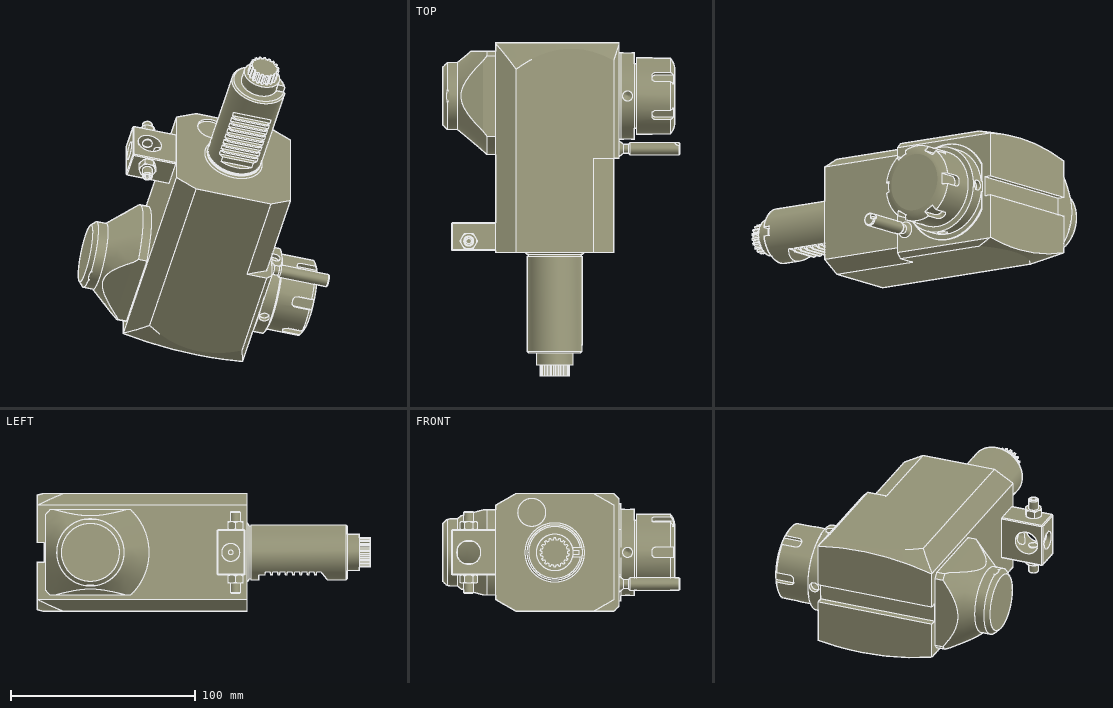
import cadquery as cq
import math


BODY_HALF_WIDTH = 32.0
BODY_HALF_HEIGHT = 32.0
BODY_LENGTH = 114.0
CHAMFER_RUN_X = 11.0
CHAMFER_RUN_Z = 6.3
HEAD_STEP = 2.9
HEAD_START_Y = 51.2
CROWN_RADIUS = 159.3
CROWN_CENTRE_X = 9.0
CROWN_HALF_HEIGHT = 31.1
CROWN_TILT = 15.0
CROWN_OVERRUN = 72.4
BACK_SLOT_WIDTH = 10.5
BACK_SLOT_DEPTH = 3.8
RECESS_X, RECESS_Z = -12.5, 21.7
RECESS_RADIUS = 7.6
RECESS_DEPTH = 1.5

SPINDLE_Y = 85.0
CAP_FLANGE_RADIUS = 31.9
CAP_FLANGE_LENGTH = 4.7
CAP_CONE_LENGTH = 16.1
CAP_LENGTH = 28.8
CAP_RADIUS = 18.3
CAP_CHAMFER = 2.5
CAP_HALF_HEIGHT = 23.2
CAP_BACK_REACH = 24.5
CAP_SLOPE_START = 6.7
CAP_SLOPE_ANGLE = 15.0

SEAT_RADIUS = 26.5
SEAT_HALF_WIDTH = 23.3
SEAT_THICKNESS = 0.9
COLLAR_RADIUS = 23.5
COLLAR_END = 8.3
NECK_RADIUS = 17.5
NUT_START = 9.5
NUT_RADIUS = 20.8
NUT_EDGE = 27.9
NUT_END = 30.2
NUT_ARC_MIDDLE = 29.5
NUT_FACE_RADIUS = 15.5
NUT_SLOT_COUNT = 6
NUT_SLOT_WIDTH = 5.8
NUT_SLOT_DEPTH = 2.9
NUT_SLOT_START = 17.7
NUT_SLOT_CORNER = 2.4
COLLAR_HOLE_COUNT = 4
COLLAR_HOLE_RADIUS = 2.7
COLLAR_HOLE_DEPTH = 2.7
COLLAR_HOLE_CONE = 1.6

TUBE_Y, TUBE_Z = 56.5, -17.2
TUBE_RADIUS = 3.5
TUBE_NECK_RADIUS = 2.5
TUBE_FOOT_RADIUS = 4.3
TUBE_NECK_START = 2.4
TUBE_NECK_END = 5.0
TUBE_BARREL_START = 6.0
TUBE_LENGTH = 33.0
TUBE_CHAMFER = 0.5
JET_RADIUS = 1.6
JET_DEPTH = 3.6

SHANK_RADIUS = 15.0
SHANK_LENGTH = 54.5
SHANK_CHAMFER = 0.9
SHOULDER_RADIUS = 16.1
SHOULDER_LENGTH = 0.9
UNDERCUT_RADIUS = 14.5
UNDERCUT_END = 2.0
STUB_RADIUS = 10.0
STUB_END = 61.0
SPLINE_END = 67.0
SPLINE_TIP_RADIUS = 8.0
SPLINE_ROOT_RADIUS = 6.9
SPLINE_COUNT = 18
SPLINE_TIP_SHARE = 0.3
SPLINE_ROOT_SHARE = 0.6
KEYWAY_WIDTH = 5.0
KEYWAY_LENGTH = 4.3
KEYWAY_POCKET_REACH = 13.0
KEYWAY_POCKET_WIDTH = 2.2
KEYWAY_POCKET_DEPTH = 1.8
RACK_START = 6.3
RACK_TIP_Z = -12.3
RACK_ROOT_Z = -10.7
RACK_FIRST_TOOTH = 13.2
RACK_PITCH = 4.0
RACK_TOOTH_COUNT = 7
RACK_TIP_WIDTH = 0.9
RACK_ROOT_WIDTH = 2.5
RACK_RAMP_START = 40.2
RACK_RAMP_END = 43.6

BLOCK_REACH = 24.0
BLOCK_START_Y = 1.0
BLOCK_END_Y = 16.3
BLOCK_HALF_HEIGHT = 12.3
BLOCK_CHAMFER = 0.5
PORT_X = -46.7
PORT_RADIUS = 6.5
SIDE_PORT_Y = 8.9
SIDE_PORT_RADIUS = 4.9
SIDE_PORT_DEPTH = 19.0
DUCT_RADIUS = 1.3
DUCT_DEPTH = 3.6
FITTING_Y = 6.3
HEX_CORNERS = 9.6
HEX_HEIGHT = 4.3
HEX_BEVEL = 0.5
PIN_RADIUS = 2.7
PIN_TOP_Z = 22.3
PIN_INNER_Z = 6.0
PIN_CHAMFER = 0.5
PIN_BORE_RADIUS = 1.5
PIN_BORE_DEPTH = 1.5

HEAD_FACE_X = BODY_HALF_WIDTH + HEAD_STEP


def block(x_range, y_range, z_range):
    """Box spanning three (low, high) ranges."""
    spans = [high - low for low, high in (x_range, y_range, z_range)]
    corner = (x_range[0], y_range[0], z_range[0])
    return cq.Workplane("XY").box(*spans, centered=False).translate(corner)


def rod(radius, length, start, direction):
    """Cylinder from a start point along a direction."""
    return cq.Workplane(obj=cq.Solid.makeCylinder(radius, length, cq.Vector(*start), cq.Vector(*direction)))


def turned(profile, start, direction):
    """Solid of revolution from (distance along axis, radius) points."""
    side = (0, 1, 0) if direction[1] == 0 else (1, 0, 0)
    plane = cq.Plane(origin=start, xDir=direction, normal=side)
    points = [(profile[0][0], 0)] + profile
    if profile[-1][1] > 0:
        points.append((profile[-1][0], 0))
    return cq.Workplane(plane).polyline(points).close().revolve(360, (0, 0, 0), (1, 0, 0))


def mirrored_z(shape):
    return shape.union(shape.mirror("XY"))


def chamfered_prism(left, right, start_y, end_y, left_run, right_run):
    """Prism along Y; each run is the (x, z) size of the two chamfers on that side."""
    top = BODY_HALF_HEIGHT
    upper = [
        (left, top - left_run[1]),
        (left + left_run[0], top),
        (right - right_run[0], top),
        (right, top - right_run[1]),
    ]
    lower = [(x, -z) for x, z in reversed(upper)]
    section = cq.Workplane("XZ", origin=(0, end_y, 0)).polyline(upper + lower).close()
    return section.extrude(end_y - start_y)


def make_body():
    wide = (CHAMFER_RUN_X, CHAMFER_RUN_Z)
    small = (HEAD_STEP, HEAD_STEP)
    body = chamfered_prism(-BODY_HALF_WIDTH, BODY_HALF_WIDTH, 0, HEAD_START_Y, wide, wide)
    body = body.union(chamfered_prism(-BODY_HALF_WIDTH, HEAD_FACE_X, HEAD_START_Y, BODY_LENGTH, wide, small))

    tilt = math.radians(CROWN_TILT)
    for side in (1, -1):
        axis_z = CROWN_HALF_HEIGHT - CROWN_RADIUS / math.cos(tilt) - CROWN_OVERRUN * math.tan(tilt)
        start = (CROWN_CENTRE_X, BODY_LENGTH + CROWN_OVERRUN, side * axis_z)
        direction = (0, -math.cos(tilt), side * math.sin(tilt))
        body = body.intersect(rod(CROWN_RADIUS, 2 * BODY_LENGTH + CROWN_OVERRUN, start, direction))

    slot = block(
        (-BODY_HALF_WIDTH, HEAD_FACE_X),
        (BODY_LENGTH - BACK_SLOT_DEPTH, BODY_LENGTH),
        (-BACK_SLOT_WIDTH / 2, BACK_SLOT_WIDTH / 2),
    )
    recess = rod(RECESS_RADIUS, RECESS_DEPTH, (RECESS_X, 0, RECESS_Z), (0, 1, 0))
    return body.cut(slot).cut(recess)


def make_cap():
    """Conical spindle cap, flattened at +Y and above and below."""
    cone_end = CAP_FLANGE_LENGTH + CAP_CONE_LENGTH
    cap = turned(
        [
            (0, CAP_FLANGE_RADIUS),
            (CAP_FLANGE_LENGTH, CAP_FLANGE_RADIUS),
            (cone_end, CAP_RADIUS),
            (CAP_LENGTH - CAP_CHAMFER, CAP_RADIUS),
            (CAP_LENGTH, CAP_RADIUS - CAP_CHAMFER),
        ],
        (-BODY_HALF_WIDTH, SPINDLE_Y, 0),
        (-1, 0, 0),
    )
    slope_drop = (CAP_LENGTH - CAP_SLOPE_START) * math.tan(math.radians(CAP_SLOPE_ANGLE))
    upper = [
        (-BODY_HALF_WIDTH, CAP_HALF_HEIGHT),
        (-BODY_HALF_WIDTH - CAP_SLOPE_START, CAP_HALF_HEIGHT),
        (-BODY_HALF_WIDTH - CAP_LENGTH, CAP_HALF_HEIGHT - slope_drop),
    ]
    lower = [(x, -z) for x, z in reversed(upper)]
    envelope = (
        cq.Workplane("XZ", origin=(0, SPINDLE_Y + CAP_BACK_REACH, 0))
        .polyline(upper + lower)
        .close()
        .extrude(CAP_BACK_REACH + CAP_FLANGE_RADIUS)
    )
    return cap.intersect(envelope)


def make_nut_slot():
    """Cutter for one wrench slot, on the +Z side of the nut."""
    floor = NUT_RADIUS - NUT_SLOT_DEPTH
    half_width = NUT_SLOT_WIDTH / 2
    cutter = block(
        (HEAD_FACE_X + NUT_SLOT_START, HEAD_FACE_X + NUT_END),
        (SPINDLE_Y - half_width, SPINDLE_Y + half_width),
        (floor, NUT_RADIUS),
    )
    return cutter.edges("|Z and <X").fillet(NUT_SLOT_CORNER)


def around_spindle(shape, angle):
    return shape.rotate((0, SPINDLE_Y, 0), (1, SPINDLE_Y, 0), angle)


def make_collet_end():
    """Seat plate, drilled collar and slotted collet nut."""
    start = (HEAD_FACE_X, SPINDLE_Y, 0)
    seat = rod(SEAT_RADIUS, SEAT_THICKNESS, start, (1, 0, 0)).intersect(
        block(
            (HEAD_FACE_X, HEAD_FACE_X + SEAT_THICKNESS),
            (SPINDLE_Y - SEAT_HALF_WIDTH, SPINDLE_Y + SEAT_HALF_WIDTH),
            (-SEAT_RADIUS, SEAT_RADIUS),
        )
    )
    collar = rod(COLLAR_RADIUS, COLLAR_END, start, (1, 0, 0))
    hole = turned(
        [
            (0, COLLAR_HOLE_RADIUS),
            (COLLAR_HOLE_DEPTH, COLLAR_HOLE_RADIUS),
            (COLLAR_HOLE_DEPTH + COLLAR_HOLE_CONE, 0),
        ],
        (HEAD_FACE_X + (SEAT_THICKNESS + COLLAR_END) / 2, SPINDLE_Y, COLLAR_RADIUS),
        (0, 0, -1),
    )
    for i in range(COLLAR_HOLE_COUNT):
        collar = collar.cut(around_spindle(hole, i * 360 / COLLAR_HOLE_COUNT))

    arc_middle = (NUT_ARC_MIDDLE, (NUT_RADIUS + NUT_FACE_RADIUS) / 2)
    nut = (
        cq.Workplane(cq.Plane(origin=start, xDir=(1, 0, 0), normal=(0, 1, 0)))
        .moveTo(NUT_START, 0)
        .lineTo(NUT_START, NUT_RADIUS)
        .lineTo(NUT_EDGE, NUT_RADIUS)
        .threePointArc(arc_middle, (NUT_END, NUT_FACE_RADIUS))
        .lineTo(NUT_END, 0)
        .close()
        .revolve(360, (0, 0, 0), (1, 0, 0))
    )
    slot = make_nut_slot()
    for i in range(NUT_SLOT_COUNT):
        nut = nut.cut(around_spindle(slot, 90 + i * 360 / NUT_SLOT_COUNT))
    neck = rod(NECK_RADIUS, NUT_START, start, (1, 0, 0))
    return seat.union(collar).union(neck).union(nut)


def make_coolant_tube():
    tube = turned(
        [
            (0, TUBE_FOOT_RADIUS),
            (TUBE_NECK_START, TUBE_NECK_RADIUS),
            (TUBE_NECK_END, TUBE_NECK_RADIUS),
            (TUBE_BARREL_START, TUBE_RADIUS),
            (TUBE_LENGTH - TUBE_CHAMFER, TUBE_RADIUS),
            (TUBE_LENGTH, TUBE_RADIUS - TUBE_CHAMFER),
        ],
        (HEAD_FACE_X, TUBE_Y, TUBE_Z),
        (1, 0, 0),
    )
    toward_y = SPINDLE_Y - TUBE_Y
    toward_z = -TUBE_Z
    reach = math.hypot(toward_y, toward_z)
    unit_y, unit_z = toward_y / reach, toward_z / reach
    mouth = (HEAD_FACE_X + TUBE_LENGTH, TUBE_Y + TUBE_RADIUS * unit_y, TUBE_Z + TUBE_RADIUS * unit_z)
    return tube.cut(rod(JET_RADIUS, JET_DEPTH, mouth, (-1, -unit_y, -unit_z)))


def make_rack_cutter():
    """Cutter under the shank that leaves the clamping teeth."""
    below = -SHOULDER_RADIUS
    flank = (RACK_PITCH - RACK_TIP_WIDTH - RACK_ROOT_WIDTH) / 2
    half_tip = RACK_TIP_WIDTH / 2
    first_root = RACK_FIRST_TOOTH - RACK_PITCH + half_tip + flank
    points = [(RACK_START, below), (RACK_START, RACK_TIP_Z), (first_root - flank, RACK_TIP_Z)]
    points.append((first_root, RACK_ROOT_Z))
    for i in range(RACK_TOOTH_COUNT):
        tooth = RACK_FIRST_TOOTH + i * RACK_PITCH
        points.append((tooth - half_tip - flank, RACK_ROOT_Z))
        points.append((tooth - half_tip, RACK_TIP_Z))
        points.append((tooth + half_tip, RACK_TIP_Z))
        points.append((tooth + half_tip + flank, RACK_ROOT_Z))
    points += [(RACK_RAMP_START, RACK_ROOT_Z), (RACK_RAMP_END, -SHANK_RADIUS), (RACK_RAMP_END, below)]
    section = cq.Workplane("YZ").polyline([(-distance, z) for distance, z in points]).close()
    return section.extrude(SHANK_RADIUS, both=True)


def make_spline():
    """Toothed drive end with a tooth on the +Z side."""
    pitch = 2 * math.pi / SPLINE_COUNT
    points = []
    for i in range(SPLINE_COUNT):
        middle = math.pi / 2 + i * pitch
        for offset, radius in (
            (-SPLINE_ROOT_SHARE / 2, SPLINE_ROOT_RADIUS),
            (-SPLINE_TIP_SHARE / 2, SPLINE_TIP_RADIUS),
            (SPLINE_TIP_SHARE / 2, SPLINE_TIP_RADIUS),
            (SPLINE_ROOT_SHARE / 2, SPLINE_ROOT_RADIUS),
        ):
            angle = middle + offset * pitch
            points.append((radius * math.cos(angle), radius * math.sin(angle)))
    section = cq.Workplane("XZ", origin=(0, -STUB_END, 0)).polyline(points).close()
    return section.extrude(SPLINE_END - STUB_END)


def make_shank():
    shank = turned(
        [
            (0, SHOULDER_RADIUS),
            (SHOULDER_LENGTH, SHANK_RADIUS),
            (SHOULDER_LENGTH, UNDERCUT_RADIUS),
            (UNDERCUT_END, UNDERCUT_RADIUS),
            (UNDERCUT_END, SHANK_RADIUS),
            (SHANK_LENGTH - SHANK_CHAMFER, SHANK_RADIUS),
            (SHANK_LENGTH, SHANK_RADIUS - SHANK_CHAMFER),
            (SHANK_LENGTH, STUB_RADIUS),
            (STUB_END, STUB_RADIUS),
        ],
        (0, 0, 0),
        (0, -1, 0),
    )
    keyway_floor = KEYWAY_LENGTH - SHANK_LENGTH
    keyway = block(
        (STUB_RADIUS, SHANK_RADIUS),
        (-SHANK_LENGTH, keyway_floor),
        (-KEYWAY_WIDTH / 2, KEYWAY_WIDTH / 2),
    )
    pocket = block(
        (STUB_RADIUS, KEYWAY_POCKET_REACH),
        (keyway_floor, keyway_floor + KEYWAY_POCKET_DEPTH),
        (-KEYWAY_POCKET_WIDTH / 2, KEYWAY_POCKET_WIDTH / 2),
    )
    return shank.cut(keyway).cut(pocket).cut(make_rack_cutter()).union(make_spline())


def make_fitting():
    """Hex nut and hollow pin that stand on top of the coolant block."""
    base = (PORT_X, FITTING_Y, BLOCK_HALF_HEIGHT)
    corner = HEX_CORNERS / 2
    hexagon = cq.Workplane("XY", origin=base).polygon(6, HEX_CORNERS).extrude(HEX_HEIGHT)
    bevel = turned(
        [
            (0, corner - HEX_BEVEL),
            (HEX_BEVEL, corner),
            (HEX_HEIGHT - HEX_BEVEL, corner),
            (HEX_HEIGHT, corner - HEX_BEVEL),
        ],
        base,
        (0, 0, 1),
    )
    pin = rod(PIN_RADIUS, PIN_TOP_Z - PIN_INNER_Z, (PORT_X, FITTING_Y, PIN_INNER_Z), (0, 0, 1))
    pin = pin.faces(">Z").chamfer(PIN_CHAMFER)
    bore = rod(PIN_BORE_RADIUS, PIN_BORE_DEPTH, (PORT_X, FITTING_Y, PIN_TOP_Z), (0, 0, -1))
    return hexagon.intersect(bevel).union(pin).cut(bore)


def make_coolant_block():
    left = -BODY_HALF_WIDTH - BLOCK_REACH
    holder = block(
        (left, -BODY_HALF_WIDTH),
        (BLOCK_START_Y, BLOCK_END_Y),
        (-BLOCK_HALF_HEIGHT, BLOCK_HALF_HEIGHT),
    )
    holder = holder.edges("not >X").chamfer(BLOCK_CHAMFER)
    port = rod(PORT_RADIUS, BLOCK_END_Y - BLOCK_START_Y, (PORT_X, BLOCK_START_Y, 0), (0, 1, 0))
    side_port = rod(SIDE_PORT_RADIUS, SIDE_PORT_DEPTH, (left, SIDE_PORT_Y, 0), (1, 0, 0))
    duct = rod(DUCT_RADIUS, DUCT_DEPTH, (left + SIDE_PORT_DEPTH, SIDE_PORT_Y, 0), (1, 0, 0))
    return holder.cut(port).cut(side_port).cut(duct).union(mirrored_z(make_fitting()))


result = (
    make_body()
    .union(make_cap())
    .union(make_collet_end())
    .union(make_coolant_tube())
    .union(make_shank())
    .union(make_coolant_block())
)